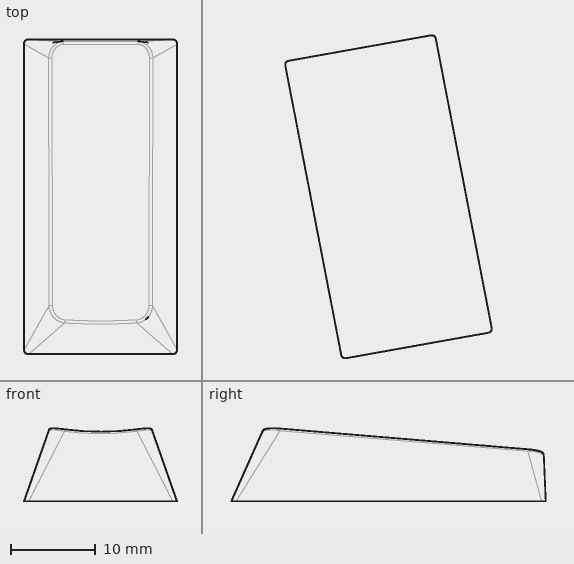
import cadquery as cq
import math

base_width = 18.1
base_length = 37.15
base_corner_radius = 0.52

rim_width = 11.95
rim_corner_radius = 2.0
rim_front_y = -14.6
rim_back_y = 18.3
rim_front_z = 8.9
rim_slope = 4.8

dish_radius = 31.58
dish_depth = 0.67
edge_fillet = 0.37

slope = math.radians(rim_slope)
rim_run = rim_back_y - rim_front_y
rim_length = rim_run / math.cos(slope)
rim_centre = (
    0,
    (rim_front_y + rim_back_y) / 2,
    rim_front_z - rim_run / 2 * math.tan(slope),
)

rim_plane = cq.Plane(
    origin=rim_centre,
    xDir=(1, 0, 0),
    normal=(0, math.sin(slope), math.cos(slope)),
)


def rounded_outline(plane, width, length, radius):
    """Closed rectangular wire with rounded corners, centred on the plane."""
    outline = cq.Workplane(plane).rect(width, length).val()
    return outline.fillet2D(radius, outline.Vertices())


def make_body():
    """Tapered body with straight-ruled walls and corners that widen upwards."""
    base = rounded_outline(cq.Plane.XY(), base_width, base_length, base_corner_radius)
    rim = rounded_outline(rim_plane, rim_width, rim_length, rim_corner_radius)
    return cq.Workplane(cq.Solid.makeLoft([base, rim], True))


def make_dish():
    """Cylinder lying along the slope that hollows the whole top."""
    start = rim_plane.toWorldCoords((0, -rim_length, dish_radius - dish_depth))
    cylinder = cq.Solid.makeCylinder(dish_radius, 2 * rim_length, start, rim_plane.yDir)
    return cq.Workplane(cylinder)


dished_body = make_body().cut(make_dish())
result = dished_body.faces(">Z").edges().fillet(edge_fillet)